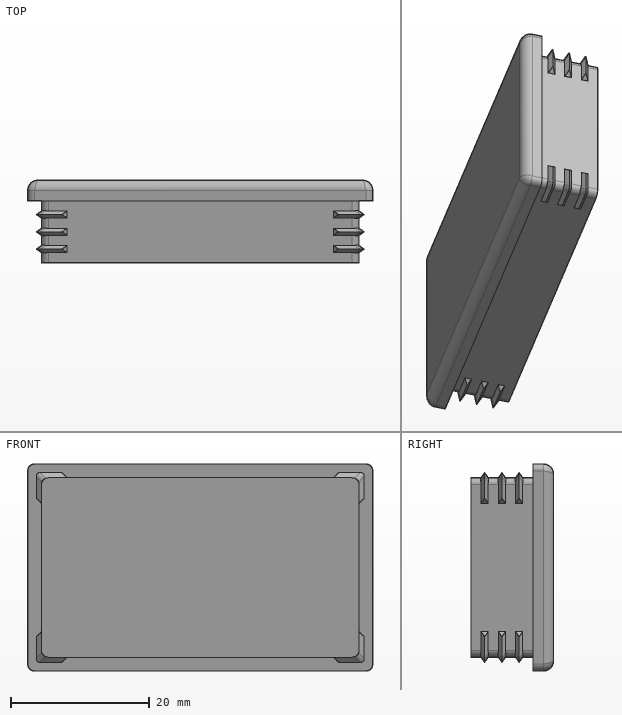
import cadquery as cq

flange_length = 50.0
flange_height = 30.0
flange_thickness = 3.0
flange_corner_radius = 1.0
flange_edge_radius = 1.5

flange_overhang = 2.0
body_length = flange_length - 2 * flange_overhang
body_height = flange_height - 2 * flange_overhang
body_depth = 9.0
body_corner_radius = 1.0

ridge_count = 3
ridge_pitch = 2.5
ridge_protrusion = 0.75
ridge_base_half_width = 0.5
ridge_corner_radius = 0.55
ridge_tip_reach = 3.7
ridge_end_run = 0.75
ridge_embed = ridge_protrusion

tip_length = body_length + 2 * ridge_protrusion
tip_height = body_height + 2 * ridge_protrusion

body_middle_y = -body_depth / 2


def rounded_plate(length, height, radius, y_start, thickness):
    """Rounded rectangle in XZ, extruded from y_start toward +Y."""
    return (
        cq.Workplane("XZ", origin=(0, y_start, 0))
        .rect(length, height)
        .extrude(-thickness)
        .edges("|Y")
        .fillet(radius)
    )


def ridge_flank(middle_y, side):
    """Sloping half of a closed ridge ring, from its tip plane toward side * Y."""
    drop = ridge_protrusion + ridge_embed
    half_width = ridge_base_half_width * drop / ridge_protrusion
    tip = cq.Sketch().rect(tip_length, tip_height).vertices().fillet(ridge_corner_radius)
    root = (
        cq.Sketch()
        .rect(tip_length - 2 * drop, tip_height - 2 * drop)
        .vertices()
        .fillet(ridge_corner_radius)
    )
    plane = cq.Plane(origin=(0, middle_y, 0), xDir=(side, 0, 0), normal=(0, side, 0))
    return cq.Workplane(plane).placeSketch(tip, root.moved(cq.Location((0, 0, half_width)))).loft()


def corner_region(side_x, side_z):
    """Block around one body corner, with the sloping ends of its ridges."""
    drop = ridge_protrusion + ridge_embed
    tip_x = tip_length / 2
    tip_z = tip_height / 2
    end_x = tip_x - ridge_tip_reach
    end_z = tip_z - ridge_tip_reach
    end_slope_run = ridge_end_run * drop / ridge_protrusion
    outline = [
        (tip_x, tip_z),
        (end_x, tip_z),
        (end_x - end_slope_run, tip_z - drop),
        (tip_x - drop, tip_z - drop),
        (tip_x - drop, end_z - end_slope_run),
        (tip_x, end_z),
    ]
    points = [(side_x * x, side_z * z) for x, z in outline]
    return cq.Workplane("XZ").polyline(points).close().extrude(body_depth)


flange = rounded_plate(flange_length, flange_height, flange_corner_radius, 0, flange_thickness)
flange = flange.faces(">Y").edges().fillet(flange_edge_radius)

body = rounded_plate(body_length, body_height, body_corner_radius, -body_depth, body_depth)

result = flange.union(body)

for index in range(ridge_count):
    ridge_y = body_middle_y + (index - (ridge_count - 1) / 2) * ridge_pitch
    ring = ridge_flank(ridge_y, 1).union(ridge_flank(ridge_y, -1))
    for side_x in (-1, 1):
        for side_z in (-1, 1):
            result = result.union(ring.intersect(corner_region(side_x, side_z)))